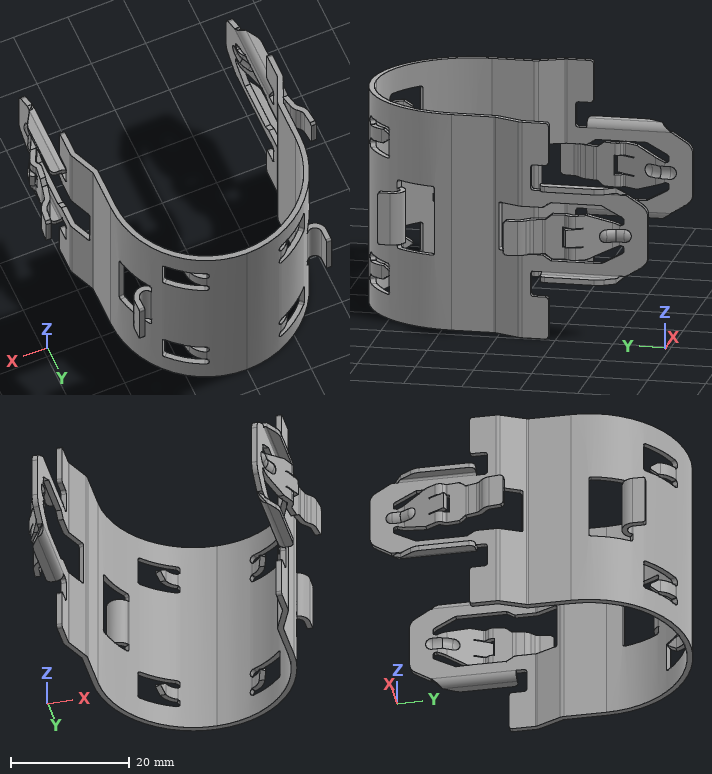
import cadquery as cq
import math


SHEET = 1.0
HEIGHT = 38.0
WIDTH = 49.85
LENGTH = 51.7
OVERLAP = 0.5
REACH = 31.0

BAND_R = 17.55
BAND_INNER_R = BAND_R - SHEET
BAND_MID_R = BAND_R - SHEET / 2

TAB_END_Y = BAND_R - LENGTH
STEP_TOP_Y = -7.55
STEP_END_Y = -12.25
TAB_OUTER_X = -19.6
TAB_MID_X = TAB_OUTER_X + SHEET / 2
STEP_BEND = 0.8
WING_END_Y = -17.05
NOTCH_TOP_Y = -14.0
NOTCH_HALF = 11.6
TAB_HALF = 7.15
TAB_TAPER_Y = -30.5
TAB_TIP_HALF = 4.8
TAB_TIP_FILLET = 2.15
WING_FILLET = 0.5

FLANGE_EDGE_X = -21.5
FLANGE_TOP_Y = -15.85
FLANGE_TAPER_Y = -26.2
FLANGE_TAPER_END_Y = -28.8
FLANGE_BEND = 0.35
FLANGE_TOP_FILLET = 0.95
FLANGE_TAPER_FILLET = 3.1

SLOT_HALF = 4.2
SLOT_WIDE_HALF = 5.1
SLOT_TOP_Y = -8.4
SLOT_CORNER = 0.35
SLOT_FLARE_Y = (-16.1, -17.55)
SLOT_TAPER_Y = -26.2
SLOT_HORN = [(-29.75, 3.2), (-30.1, 2.85), (-30.1, 2.15), (-29.95, 1.9)]

LEVER_ROOT_Y = -29.5
LEVER_ROOT_HALF = 1.75
LEVER_BEND_Y = -28.6
LEVER_ROOT_BEND = 2.6
LEVER_HALF = 3.9
GRIP_HALF = 3.0
GRIP_CHAMFER = 0.45
LEVER_TIP_Y = -10.3
PAWL_TIP = (-23.0, -20.6)
PAWL_HALF = 1.55
PAWL_GAP = 0.15
PAWL_WINDOW_Y = (-23.5, -20.05)
KINK_Y = -21.75
KINK_BEND = 0.35
GRIP_CORNERS = [(-21.75, -20.65), (-22.25, -16.8), (-22.75, -14.7), (-24.1, -13.35)]
GRIP_BENDS = (0.35, 3.6, 1.2, 1.3)
LEVER_FLARE_Y = (-17.15, -18.25)
LEVER_TAPER_Y = -24.15

BEAD_R = 1.4
BEAD_HEIGHT = 0.55
BEAD_TOP_Y = -26.95
BEAD_END_Y = -30.25

HOOK_ANGLES = (10.0, 34.9)
HOOK_ROOT_ANGLE = HOOK_ANGLES[1]
HOOK_WINDOW_HALF = 6.05
HOOK_HALF = 4.55
HOOK_ARM_X = -17.2
HOOK_BEND = 1.25
HOOK_TIP_Y = 12.7
HOOK_TIP_FILLET = 0.35

LUG_ANGLES = (41.8, 68.4)
LUG_ROOT_ANGLE = 67.2
LUG_Z = 12.0
LUG_WINDOW_HALF = 2.75
LUG_HALF = 1.2
LUG_BEND = 2.95
LUG_TIP = (-9.15, 12.05)
LUG_LEAN = 20.0
LUG_SHOULDER_Y = 13.45
LUG_POINT_Y = 11.9
LUG_POINT_HALF = 0.05

WINDOW_CORNER = 0.4
WINDOW_CLEARANCE = 0.5
RELIEF_ROUNDING = 0.45


def moved(point, direction, distance):
    return (point[0] + direction[0] * distance, point[1] + direction[1] * distance)


def unit(start, end):
    length = math.dist(start, end)
    return ((end[0] - start[0]) / length, (end[1] - start[1]) / length)


def left_of(direction):
    return (-direction[1], direction[0])


def strip_side(path, bends, offset):
    """One side of a bent strip: start point, an arc (from, through, to) per bend, end point."""
    start = moved(path[0], left_of(unit(path[0], path[1])), offset)
    end = moved(path[-1], left_of(unit(path[-2], path[-1])), offset)
    arcs = []
    for before, corner, after, bend in zip(path, path[1:], path[2:], bends):
        enter = unit(before, corner)
        leave = unit(corner, after)
        turn = math.atan2(
            enter[0] * leave[1] - enter[1] * leave[0], enter[0] * leave[0] + enter[1] * leave[1]
        )
        side = math.copysign(1, turn)
        mid_radius = bend + SHEET / 2
        setback = mid_radius * math.tan(abs(turn) / 2)
        bend_start = moved(corner, enter, -setback)
        bend_end = moved(corner, leave, setback)
        center = moved(bend_start, left_of(enter), side * mid_radius)
        arcs.append((
            moved(bend_start, left_of(enter), offset),
            moved(center, unit(center, corner), mid_radius - side * offset),
            moved(bend_end, left_of(leave), offset),
        ))
    return start, arcs, end


def bent_strip(path, bends, half_width, plane="XY"):
    """Sheet following a middle line, with one inner bend radius per corner."""
    left_start, left_arcs, left_end = strip_side(path, bends, SHEET / 2)
    right_start, right_arcs, right_end = strip_side(path, bends, -SHEET / 2)
    outline = cq.Workplane(plane).moveTo(*left_start)
    for first, through, last in left_arcs:
        outline = outline.lineTo(*first).threePointArc(through, last)
    outline = outline.lineTo(*left_end).lineTo(*right_end)
    for first, through, last in reversed(right_arcs):
        outline = outline.lineTo(*last).threePointArc(through, first)
    outline = outline.lineTo(*right_start).close()
    return outline.extrude(half_width, both=True)


def side_prism(half_outline):
    """Prism along X from (y, z) points, mirrored about Z = 0."""
    mirrored = [(y, -z) for y, z in reversed(half_outline)]
    return cq.Workplane("YZ").polyline(half_outline + mirrored).close().extrude(-REACH)


def x_edges_between(body, low_y, high_y):
    box = cq.selectors.BoxSelector((-2 * REACH, low_y, -HEIGHT), (2 * REACH, high_y, HEIGHT))
    return body.edges("|X").edges(box)


def polar(radius, angle):
    return (-radius * math.cos(math.radians(angle)), radius * math.sin(math.radians(angle)))


def sector(inner_r, outer_r, low, high, half_width):
    """Ring sector on the -X side, angles measured from -X towards +Y."""
    middle = (low + high) / 2
    return (
        cq.Workplane("XY")
        .moveTo(*polar(outer_r, low))
        .threePointArc(polar(outer_r, middle), polar(outer_r, high))
        .lineTo(*polar(inner_r, high))
        .threePointArc(polar(inner_r, middle), polar(inner_r, low))
        .close()
        .extrude(half_width, both=True)
    )


def band_window(angles, root_angle, window_half, tongue_half):
    """Cutter through the band, with a round-ended relief slot on each side of the tongue."""
    radii = (BAND_INNER_R - WINDOW_CLEARANCE, BAND_R + WINDOW_CLEARANCE)
    low, high = angles
    cutter = sector(*radii, low, root_angle, window_half)
    cutter = cutter.edges("(not |Z) and %LINE").fillet(WINDOW_CORNER)
    slot_width = window_half - tongue_half
    slot = sector(*radii, low, high, slot_width / 2)
    slot = slot.edges("(not |Z) and %LINE").fillet(RELIEF_ROUNDING * slot_width)
    for side in (1, -1):
        cutter = cutter.union(slot.translate((0, 0, side * (window_half + tongue_half) / 2)))
    return cutter


def root_heading(root_angle):
    """Direction along the band at a tongue root, towards the leg."""
    angle = math.radians(root_angle)
    return (-math.sin(angle), -math.cos(angle))


def make_hook():
    root = polar(BAND_MID_R, HOOK_ROOT_ANGLE)
    heading = root_heading(HOOK_ROOT_ANGLE)
    corner = moved(root, heading, (HOOK_ARM_X - root[0]) / heading[0])
    hook = bent_strip([root, corner, (HOOK_ARM_X, HOOK_TIP_Y)], (HOOK_BEND,), HOOK_HALF)
    return hook.edges("|X and >Y").fillet(HOOK_TIP_FILLET)


def make_lug():
    root = polar(BAND_MID_R, LUG_ROOT_ANGLE)
    heading = root_heading(LUG_ROOT_ANGLE)
    lean = math.radians(LUG_LEAN)
    back = (math.sin(lean), math.cos(lean))
    gap = (LUG_TIP[0] - root[0], LUG_TIP[1] - root[1])
    run = (gap[0] * back[1] - gap[1] * back[0]) / (heading[0] * back[1] - heading[1] * back[0])
    lug = bent_strip([root, moved(root, heading, run), LUG_TIP], (LUG_BEND,), LUG_HALF)
    point = side_prism([(BAND_R, LUG_HALF), (LUG_SHOULDER_Y, LUG_HALF), (LUG_POINT_Y, LUG_POINT_HALF)])
    return lug.intersect(point)


def make_leg():
    path = [
        (-BAND_MID_R, 0),
        (-BAND_MID_R, STEP_TOP_Y),
        (TAB_MID_X, STEP_END_Y),
        (TAB_MID_X, TAB_END_Y),
    ]
    outline = side_prism([
        (0, HEIGHT / 2),
        (WING_END_Y, HEIGHT / 2),
        (WING_END_Y, NOTCH_HALF),
        (NOTCH_TOP_Y, NOTCH_HALF),
        (NOTCH_TOP_Y, TAB_HALF),
        (TAB_TAPER_Y, TAB_HALF),
        (TAB_END_Y, TAB_TIP_HALF),
    ])
    outline = x_edges_between(outline, WING_END_Y - OVERLAP, NOTCH_TOP_Y + OVERLAP).fillet(WING_FILLET)
    outline = x_edges_between(outline, TAB_END_Y - OVERLAP, TAB_END_Y + OVERLAP).fillet(TAB_TIP_FILLET)
    return bent_strip(path, (STEP_BEND, STEP_BEND), HEIGHT / 2).intersect(outline)


def make_slot():
    """Cutter for the opening around the lever."""
    step_center_y = (STEP_TOP_Y + STEP_END_Y) / 2
    slot = side_prism([
        (step_center_y, SLOT_HALF),
        (SLOT_FLARE_Y[0], SLOT_HALF),
        (SLOT_FLARE_Y[1], SLOT_WIDE_HALF),
        (SLOT_TAPER_Y, SLOT_WIDE_HALF),
        *SLOT_HORN,
        (LEVER_ROOT_Y, LEVER_ROOT_HALF),
    ])
    step_rise = TAB_MID_X + BAND_MID_R
    step_run = STEP_TOP_Y - STEP_END_Y
    step_angle = math.degrees(math.atan2(step_rise, step_run))
    top_x = -BAND_MID_R + step_rise * (STEP_TOP_Y - SLOT_TOP_Y) / step_run
    length = (SLOT_TOP_Y - step_center_y) / math.cos(math.radians(step_angle)) + OVERLAP
    top = cq.Workplane("XY").box(4 * SHEET, length, 2 * SLOT_HALF)
    top = top.edges("|X and >Y").fillet(SLOT_CORNER).translate((0, -length / 2, 0))
    top = top.rotate((0, 0, 0), (0, 0, 1), step_angle).translate((top_x, SLOT_TOP_Y, 0))
    return slot.union(top)


def make_flange():
    """Flange at the +Z edge of the tab, bent outwards and tapered towards the tab end."""
    flange_mid_z = TAB_HALF + FLANGE_BEND + SHEET / 2
    path = [(TAB_MID_X, TAB_HALF - SHEET), (TAB_MID_X, flange_mid_z), (FLANGE_EDGE_X, flange_mid_z)]
    strip = bent_strip(path, (FLANGE_BEND,), -TAB_END_Y, plane="XZ")
    bend_start_x = TAB_OUTER_X - FLANGE_BEND
    outline = (
        cq.Workplane("XY")
        .polyline([
            (FLANGE_EDGE_X, FLANGE_TOP_Y),
            (FLANGE_EDGE_X, FLANGE_TAPER_Y),
            (bend_start_x, FLANGE_TAPER_END_Y),
            (TAB_OUTER_X + SHEET, TAB_TAPER_Y),
            (TAB_OUTER_X + SHEET, FLANGE_TOP_Y),
        ])
        .close()
        .extrude(HEIGHT)
    )
    outline = outline.edges("|Z and <X and >Y").fillet(FLANGE_TOP_FILLET)
    outline = outline.edges("|Z and <X").fillet(FLANGE_TAPER_FILLET)
    corner_cut = side_prism([
        (0, flange_mid_z + SHEET / 2),
        (FLANGE_TAPER_END_Y, flange_mid_z + SHEET / 2),
        (TAB_TAPER_Y, TAB_HALF),
    ])
    return strip.intersect(outline).intersect(corner_cut)


LEVER_ROOT = (TAB_MID_X, LEVER_ROOT_Y - OVERLAP)
LEVER_BEND = (TAB_MID_X, LEVER_BEND_Y)
LEVER_HEADING = unit(LEVER_BEND, PAWL_TIP)


def on_lever(y):
    """Point on the middle line of the sloped part of the lever."""
    return moved(LEVER_BEND, LEVER_HEADING, (y - LEVER_BEND_Y) / LEVER_HEADING[1])


def make_lever():
    grip_x = (SHEET - WIDTH) / 2
    path = [
        LEVER_ROOT,
        LEVER_BEND,
        on_lever(KINK_Y),
        *GRIP_CORNERS,
        (grip_x, LEVER_TIP_Y),
    ]
    bends = (LEVER_ROOT_BEND, KINK_BEND, *GRIP_BENDS)
    lever = bent_strip(path, bends, LEVER_HALF)
    outline = side_prism([
        (LEVER_TIP_Y, GRIP_HALF - GRIP_CHAMFER),
        (LEVER_TIP_Y - GRIP_CHAMFER, GRIP_HALF),
        (LEVER_FLARE_Y[0], GRIP_HALF),
        (LEVER_FLARE_Y[1], LEVER_HALF),
        (LEVER_TAPER_Y, LEVER_HALF),
        (LEVER_ROOT_Y, LEVER_ROOT_HALF),
        (LEVER_ROOT[1], LEVER_ROOT_HALF),
    ])
    window_low, window_high = PAWL_WINDOW_Y
    window = cq.Workplane("XY").box(REACH, window_high - window_low, 2 * (PAWL_HALF + PAWL_GAP))
    window = window.translate((-REACH, (window_low + window_high) / 2, 0))
    pawl = bent_strip([LEVER_ROOT, LEVER_BEND, PAWL_TIP], (LEVER_ROOT_BEND,), PAWL_HALF)
    return lever.intersect(outline).cut(window).union(pawl)


def bead_rod(depth):
    """Round-ended bent rod whose axis lies at a depth below the outer face of the lever root."""
    offset = SHEET / 2 - depth
    tab_heading = (0, 1)
    bisector = unit((0, 0), (LEVER_HEADING[0], LEVER_HEADING[1] + 1))
    axis = [
        moved((TAB_MID_X, BEAD_END_Y), left_of(tab_heading), offset),
        moved(LEVER_BEND, left_of(bisector), offset / bisector[1]),
        moved(on_lever(BEAD_TOP_Y), left_of(LEVER_HEADING), offset),
    ]
    rod = cq.Workplane("XY").pushPoints(axis).sphere(BEAD_R)
    for start, end in zip(axis, axis[1:]):
        direction = cq.Vector(*unit(start, end), 0)
        length = math.dist(start, end)
        cylinder = cq.Solid.makeCylinder(BEAD_R, length, cq.Vector(*start, 0), direction)
        rod = rod.union(cq.Workplane(cylinder))
    return rod


def add_bead(body):
    """Raise the bead on the outer face and hollow it from the inner face."""
    margin = 2 * BEAD_R
    outer_half = (
        cq.Workplane("XY")
        .polyline([
            (TAB_MID_X, BEAD_END_Y - margin),
            LEVER_BEND,
            on_lever(BEAD_TOP_Y + margin),
            (-REACH, BEAD_TOP_Y + margin),
            (-REACH, BEAD_END_Y - margin),
        ])
        .close()
        .extrude(BEAD_R, both=True)
    )
    depth = BEAD_R - BEAD_HEIGHT
    bead = bead_rod(depth).intersect(outer_half)
    return body.union(bead).cut(bead_rod(depth + SHEET))


def make_half():
    body = sector(BAND_INNER_R, BAND_R, 0, 90, HEIGHT / 2)
    hook_window = band_window(HOOK_ANGLES, HOOK_ROOT_ANGLE, HOOK_WINDOW_HALF, HOOK_HALF)
    body = body.cut(hook_window).union(make_hook())
    lug_window = band_window(LUG_ANGLES, LUG_ROOT_ANGLE, LUG_WINDOW_HALF, LUG_HALF)
    for z in (LUG_Z, -LUG_Z):
        body = body.cut(lug_window.translate((0, 0, z)))
        body = body.union(make_lug().translate((0, 0, z)))
    body = body.union(make_leg().cut(make_slot()))
    flange = make_flange()
    body = body.union(flange).union(flange.mirror("XY"))
    return add_bead(body.union(make_lever()))


half = make_half()
result = half.union(half.mirror("YZ"))